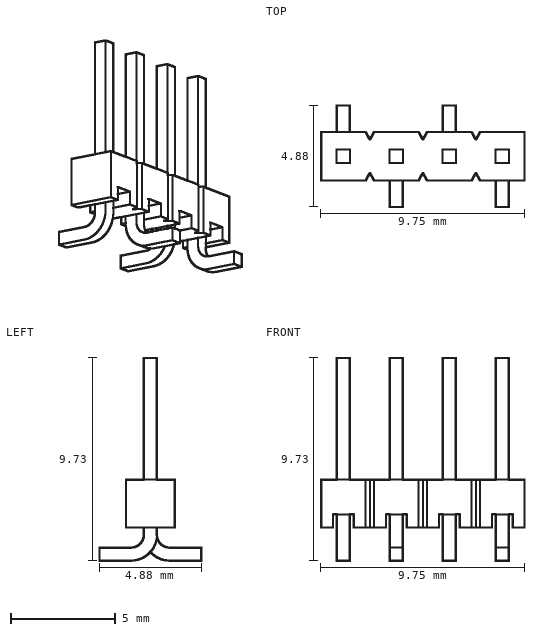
import cadquery as cq

pin_count = 4
pitch = 2.54
pin_size = 0.635
bend_inner_radius = 0.61
foot_span = 4.88
overall_height = 9.73

body_length = 9.754
body_depth = 2.34
body_height = 2.3
body_bottom = 1.59

slot_width = 0.99
slot_height = 0.64
notch_width = 0.4
notch_depth = 0.37

pin_half = pin_size / 2
foot_reach = foot_span / 2
bend_outer_radius = bend_inner_radius + pin_size
first_pin_x = -(pin_count - 1) * pitch / 2
pin_positions = [first_pin_x + i * pitch for i in range(pin_count)]
notch_positions = [x + pitch / 2 for x in pin_positions[:-1]]


def make_notch(x, side):
    """Full-height V groove in the long face on the given Y side (+1 or -1)."""
    face_y = side * body_depth / 2
    apex_y = face_y - side * notch_depth
    return (
        cq.Workplane("XY", origin=(x, 0, body_bottom))
        .moveTo(-notch_width / 2, face_y)
        .lineTo(0, apex_y)
        .lineTo(notch_width / 2, face_y)
        .close()
        .extrude(body_height)
    )


def make_body():
    """Plastic strip with V notches between pins and a cross slot below each pin."""
    body = (
        cq.Workplane("XY", origin=(0, 0, body_bottom))
        .box(body_length, body_depth, body_height, centered=(True, True, False))
    )
    for x in notch_positions:
        for side in (1, -1):
            body = body.cut(make_notch(x, side))
    for x in pin_positions:
        slot = (
            cq.Workplane("XY", origin=(x, 0, body_bottom))
            .box(slot_width, body_depth, slot_height, centered=(True, True, False))
        )
        body = body.cut(slot)
    return body


def make_pin(x, side):
    """Square pin with its lower end bent into a foot toward the given Y side."""
    bend_center_y = pin_half + bend_inner_radius
    return (
        cq.Workplane("YZ", origin=(x, 0, 0))
        .moveTo(side * foot_reach, 0)
        .lineTo(side * bend_center_y, 0)
        .radiusArc((-side * pin_half, bend_outer_radius), side * bend_outer_radius)
        .lineTo(-side * pin_half, overall_height)
        .lineTo(side * pin_half, overall_height)
        .lineTo(side * pin_half, bend_outer_radius)
        .radiusArc((side * bend_center_y, pin_size), -side * bend_inner_radius)
        .lineTo(side * foot_reach, pin_size)
        .close()
        .extrude(pin_half, both=True)
    )


result = make_body()
for index, pin_x in enumerate(pin_positions):
    foot_side = 1 if index % 2 == 0 else -1
    result = result.union(make_pin(pin_x, foot_side))